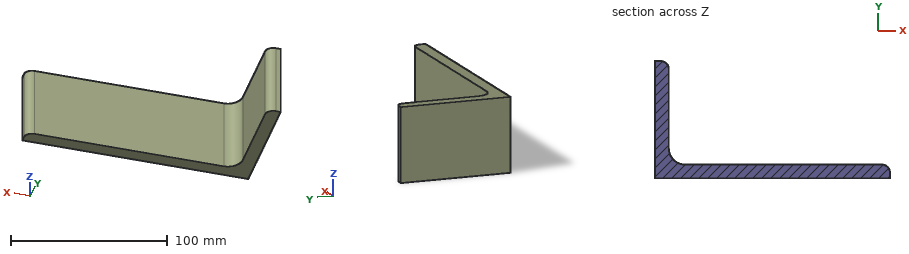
import cadquery as cq

long_leg = 150.0
short_leg = 75.0
length = 50.0
thickness = 9.0
root_radius = 10.0
toe_radius = 5.5


def angle_blank():
    """Sharp-cornered L with its heel on the Z axis and its base at Z = 0."""
    return (
        cq.Workplane("XY")
        .moveTo(0, 0)
        .lineTo(long_leg, 0)
        .lineTo(long_leg, thickness)
        .lineTo(thickness, thickness)
        .lineTo(thickness, short_leg)
        .lineTo(0, short_leg)
        .close()
        .extrude(length)
    )


def round_upright_edge(body, x, y, radius):
    """Fillet the edge parallel to Z that passes through (x, y)."""
    edge_middle = (x, y, length / 2)
    return body.edges(cq.selectors.NearestToPointSelector(edge_middle)).fillet(radius)


result = angle_blank()
result = round_upright_edge(result, thickness, thickness, root_radius)
result = round_upright_edge(result, long_leg, thickness, toe_radius)
result = round_upright_edge(result, thickness, short_leg, toe_radius)